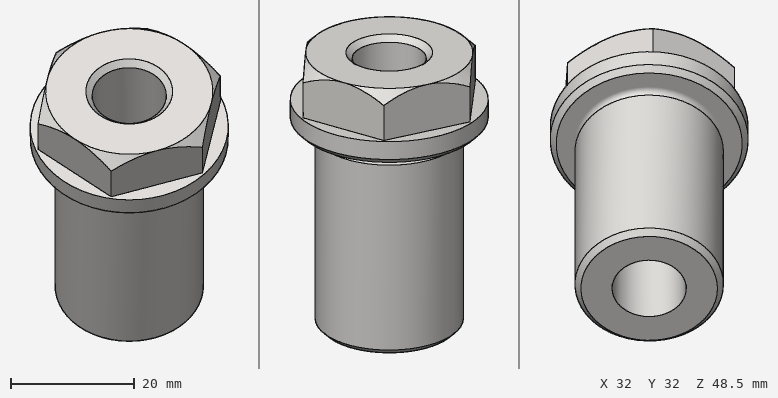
import cadquery as cq
import math

total_length = 48.5
across_flats = 27.0
head_height = 8.35
head_chamfer_angle = 45.0

flange_diameter = 32.0
flange_thickness = 4.15
flange_chamfer = 0.95

shank_diameter = 24.0
shank_chamfer = 0.95
undercut_radius = 0.95

bore_diameter = 12.0
bore_chamfer = 1.0

flange_top = total_length - head_height
flange_bottom = flange_top - flange_thickness
shank_top = flange_bottom - 2 * undercut_radius


def make_head():
    """Hexagon with corners on the X axis, its top corners turned to a cone."""
    flat_radius = across_flats / 2
    corner_radius = flat_radius / math.cos(math.pi / 6)
    corner_drop = (corner_radius - flat_radius) * math.tan(math.radians(head_chamfer_angle))
    hexagon = (
        cq.Workplane("XY")
        .workplane(offset=flange_top)
        .polygon(6, 2 * corner_radius)
        .extrude(head_height)
    )
    envelope = (
        cq.Workplane("XZ")
        .moveTo(0, flange_top)
        .lineTo(corner_radius, flange_top)
        .lineTo(corner_radius, total_length - corner_drop)
        .lineTo(flat_radius, total_length)
        .lineTo(0, total_length)
        .close()
        .revolve(360, (0, 0, 0), (0, 1, 0))
    )
    return hexagon.intersect(envelope)


def make_body():
    """Flange, half-round undercut and shank turned as one profile."""
    flange_radius = flange_diameter / 2
    shank_radius = shank_diameter / 2
    floor_radius = shank_radius - undercut_radius
    undercut_middle = shank_top + undercut_radius
    return (
        cq.Workplane("XZ")
        .lineTo(shank_radius - shank_chamfer, 0)
        .lineTo(shank_radius, shank_chamfer)
        .lineTo(shank_radius, shank_top)
        .threePointArc((floor_radius, undercut_middle), (shank_radius, flange_bottom))
        .lineTo(flange_radius - flange_chamfer, flange_bottom)
        .lineTo(flange_radius, flange_bottom + flange_chamfer)
        .lineTo(flange_radius, flange_top)
        .lineTo(0, flange_top)
        .close()
        .revolve(360, (0, 0, 0), (0, 1, 0))
    )


def make_bore():
    """Through bore, countersunk at the head end."""
    bore_radius = bore_diameter / 2
    return (
        cq.Workplane("XZ")
        .lineTo(bore_radius, 0)
        .lineTo(bore_radius, total_length - bore_chamfer)
        .lineTo(bore_radius + bore_chamfer, total_length)
        .lineTo(0, total_length)
        .close()
        .revolve(360, (0, 0, 0), (0, 1, 0))
    )


result = make_body().union(make_head()).cut(make_bore())